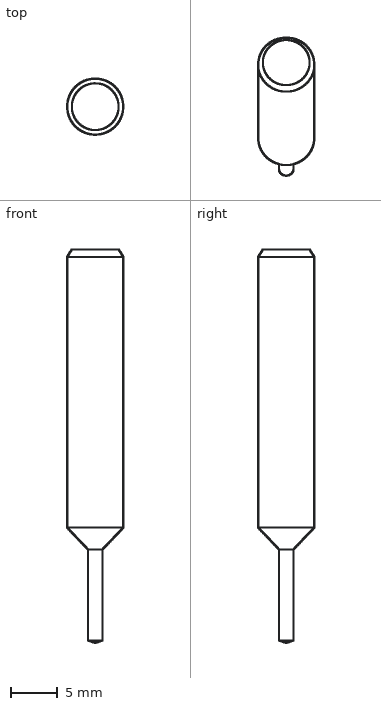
import cadquery as cq
import math

total_length = 42.0
shank_diameter = 6.0
cutter_diameter = 1.6
cutter_length = 10.0
taper_end = 12.3
point_angle = 140.0
chamfer_width = 0.5
chamfer_height = 0.8

shank_radius = shank_diameter / 2
cutter_radius = cutter_diameter / 2
point_height = cutter_radius / math.tan(math.radians(point_angle / 2))


def revolve_profile(points):
    """Turn a closed (radius, height) profile about the Z axis."""
    return cq.Workplane("XZ").polyline(points).close().revolve(360, (0, 0), (0, 1))


def make_cutter():
    """Slender cylinder with a conical drill point."""
    return revolve_profile([
        (0, 0),
        (cutter_radius, point_height),
        (cutter_radius, cutter_length),
        (0, cutter_length),
    ])


def make_shank():
    """Taper and cylindrical shank with a chamfered top."""
    return revolve_profile([
        (0, cutter_length),
        (cutter_radius, cutter_length),
        (shank_radius, taper_end),
        (shank_radius, total_length - chamfer_height),
        (shank_radius - chamfer_width, total_length),
        (0, total_length),
    ])


cutter = make_cutter()
shank = make_shank()

result = cq.Compound.makeCompound([cutter.val(), shank.val()])